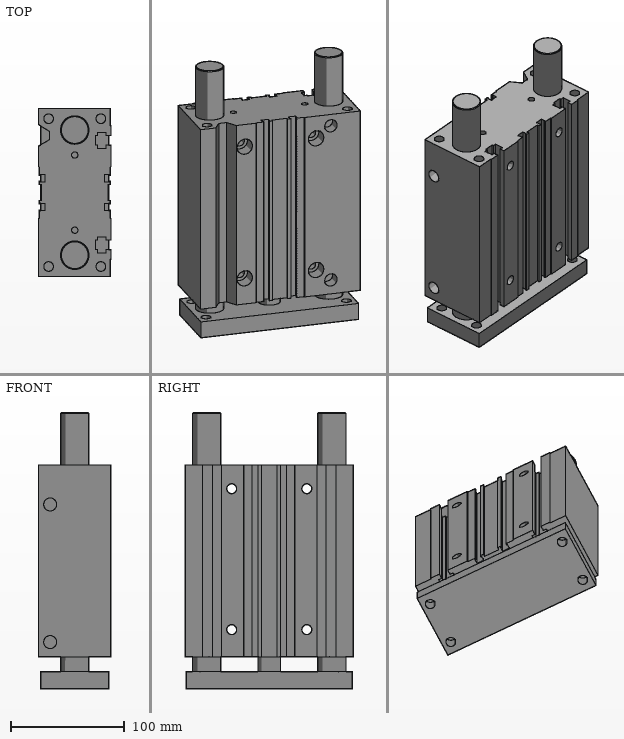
import cadquery as cq

body_width = 64.0
body_length = 148.0
body_height = 169.0
face_relief = 0.7
plate_width = 60.0
plate_length = 146.0
plate_thickness = 15.0
plate_gap = 13.0
overall_height = 243.0

guide_diameter = 25.0
guide_spacing = 110.0
guide_chamfer = 0.7
piston_diameter = 20.0
piston_insertion = 73.0

corner_hole_diameter = 8.5
corner_spacing_x = 46.0
corner_spacing_y = 130.0
plate_hole_spacing_x = 40.0
corner_hole_depth = 21.9

vent_diameter = 5.5
vent_depth = 12.2

mount_spacing_y = 66.0
mount_spacing_z = 124.0
mount_top_offset = 21.0
mount_hole_diameter = 8.5
mount_bore_diameter = 14.0
mount_bore_depth = 14.0

port_diameter = 11.5
port_depth = 12.2
lower_port_height = 13.1
side_port_y = -46.7
side_port_top_offset = 10.7
end_port_x = -21.6
end_port_top_offset = 34.7

taper_y = 50.3
taper_mouth = 19.0
taper_floor = 7.3
taper_depth = 9.7

band_length = 45.7
recess_length = 13.9
recess_depth = 3.0
sensor_slot_y = 12.6
sensor_mouth = 5.0
sensor_slot_width = 6.5
sensor_lip = 1.2
sensor_slot_depth = 5.0

raised_half_length = 58.8
tee_slot_y = 46.0
tee_mouth = 8.3
tee_width = 14.0
tee_lip = 4.4
tee_shoulder_depth = 12.2
tee_depth = 13.5

body_bottom = plate_thickness + plate_gap
body_top = body_bottom + body_height
face_x = body_width / 2
band_x = face_x - face_relief
end_y = body_length / 2
guide_points = [(0, sy * guide_spacing / 2) for sy in (-1, 1)]


def corner_points(spacing_x):
    """Centres of four holes around the Z axis, on the common spacing along Y."""
    return [(sx * spacing_x / 2, sy * corner_spacing_y / 2) for sx in (-1, 1) for sy in (-1, 1)]


def full_height_cut(x_outer, x_inner, y_center, width):
    """Rectangular prism over the whole housing height, between two X planes."""
    return (
        cq.Workplane("XY", origin=((x_outer + x_inner) / 2, y_center, body_bottom))
        .rect(abs(x_outer - x_inner), width)
        .extrude(body_height)
    )


def hole_from_side(y, z, diameter, depth):
    """Round hole entering the -X face."""
    return cq.Workplane("YZ", origin=(-face_x, y, z)).circle(diameter / 2).extrude(depth)


def hole_from_end(x, z, diameter, depth):
    """Round hole entering the -Y face."""
    return cq.Workplane("XZ", origin=(x, -end_y, z)).circle(diameter / 2).extrude(-depth)


def tapered_groove(x_mouth, x_floor, y_center, mouth, floor):
    """Groove with sloping sides over the whole housing height, narrowing from mouth to floor."""
    outline = [
        (x_mouth, y_center - mouth / 2),
        (x_floor, y_center - floor / 2),
        (x_floor, y_center + floor / 2),
        (x_mouth, y_center + mouth / 2),
    ]
    return cq.Workplane("XY").workplane(offset=body_bottom).polyline(outline).close().extrude(body_height)


def cut_middle_band(body, side):
    """Relieved band with its recess and sensor slots, on the face given by the sign of X."""
    face = side * face_x
    band = side * band_x
    body = body.cut(tapered_groove(face, band, 0, band_length, band_length - 2 * face_relief))
    body = body.cut(full_height_cut(face, face - side * recess_depth, 0, recess_length))
    lip_inner = band - side * sensor_lip
    for y in (-sensor_slot_y, sensor_slot_y):
        body = body.cut(full_height_cut(face, lip_inner, y, sensor_mouth))
        body = body.cut(full_height_cut(lip_inner, band - side * sensor_slot_depth, y, sensor_slot_width))
    return body


def cut_tee_slot(body, y):
    body = body.cut(full_height_cut(face_x, face_x - tee_depth, y, tee_mouth))
    return body.cut(full_height_cut(face_x - tee_lip, face_x - tee_shoulder_depth, y, tee_width))


def cut_profile(body):
    """Grooves and steps that run over the whole height."""
    taper_floor_x = -face_x + taper_depth
    body = body.cut(tapered_groove(-face_x, taper_floor_x, taper_y, taper_mouth, taper_floor))
    for side in (-1, 1):
        body = cut_middle_band(body, side)
        relief_length = end_y - raised_half_length
        relief_y = side * (raised_half_length + relief_length / 2)
        body = body.cut(full_height_cut(face_x, band_x, relief_y, relief_length))
        body = cut_tee_slot(body, side * tee_slot_y)
    return body


def cut_top_holes(body):
    top = cq.Workplane("XY").workplane(offset=body_top)
    corner_holes = top.pushPoints(corner_points(corner_spacing_x)).circle(corner_hole_diameter / 2)
    body = body.cut(corner_holes.extrude(-corner_hole_depth))
    vent_points = [(0, sy * mount_spacing_y / 2) for sy in (-1, 1)]
    return body.cut(top.pushPoints(vent_points).circle(vent_diameter / 2).extrude(-vent_depth))


def cut_mounting_holes(body):
    upper_z = body_top - mount_top_offset
    for z in (upper_z, upper_z - mount_spacing_z):
        for y in (-mount_spacing_y / 2, mount_spacing_y / 2):
            body = body.cut(hole_from_side(y, z, mount_hole_diameter, body_width))
            body = body.cut(hole_from_side(y, z, mount_bore_diameter, mount_bore_depth))
    return body


def cut_ports(body):
    lower_z = body_bottom + lower_port_height
    for z in (lower_z, body_top - side_port_top_offset):
        body = body.cut(hole_from_side(side_port_y, z, port_diameter, port_depth))
    for z in (lower_z, body_top - end_port_top_offset):
        body = body.cut(hole_from_end(end_port_x, z, port_diameter, port_depth))
    return body


def cut_rod_bores(body):
    bottom = cq.Workplane("XY").workplane(offset=body_bottom)
    body = body.cut(bottom.pushPoints(guide_points).circle(guide_diameter / 2).extrude(body_height))
    return body.cut(bottom.circle(piston_diameter / 2).extrude(piston_insertion))


def make_housing():
    body = (
        cq.Workplane("XY")
        .workplane(offset=body_bottom)
        .rect(body_width, body_length)
        .extrude(body_height)
    )
    body = cut_profile(body)
    body = cut_top_holes(body)
    body = cut_mounting_holes(body)
    body = cut_ports(body)
    return cut_rod_bores(body)


def make_slide():
    """Tool plate carrying the two guide rods and the piston rod."""
    plate = cq.Workplane("XY").rect(plate_width, plate_length).extrude(plate_thickness)
    plate_holes = cq.Workplane("XY").pushPoints(corner_points(plate_hole_spacing_x))
    plate = plate.cut(plate_holes.circle(corner_hole_diameter / 2).extrude(plate_thickness))
    plate_top = cq.Workplane("XY").workplane(offset=plate_thickness)
    guides = (
        plate_top.pushPoints(guide_points)
        .circle(guide_diameter / 2)
        .extrude(overall_height - plate_thickness)
        .faces(">Z")
        .chamfer(guide_chamfer)
    )
    piston = plate_top.circle(piston_diameter / 2).extrude(plate_gap + piston_insertion)
    return plate.union(guides).union(piston)


housing = make_housing()
slide = make_slide()
result = cq.Compound.makeCompound([housing.val(), slide.val()])